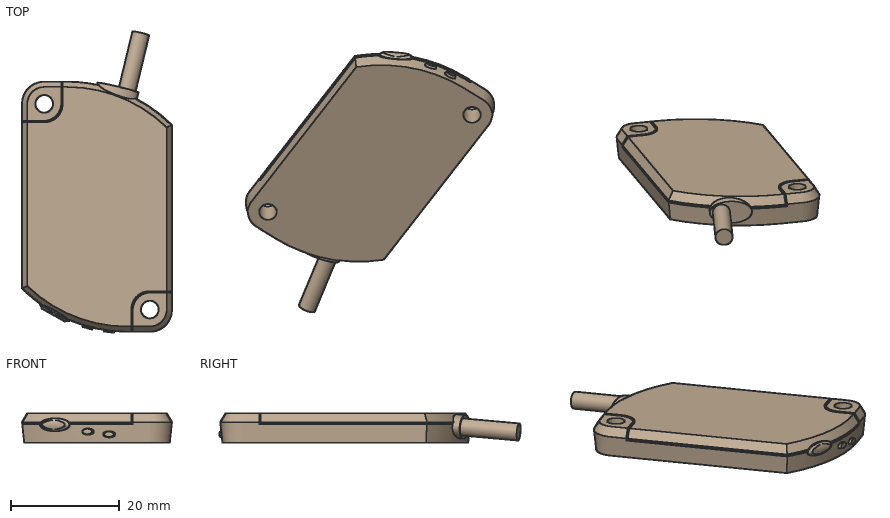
import cadquery as cq
import math

half_width = 13.8
half_length = 23.0
height = 5.5
widest_z = 3.85
base_draft = 6.0
bevel_angle = 31.0
corner_radius = 4.1
bow_start_x = 5.5
side_end_y = 15.0

hole_diameter = 3.2
hole_x = half_width - corner_radius
hole_y = half_length - corner_radius

groove_depth = 0.15
groove_width = 0.3
groove_bottom_z = 3.4
corner_pad_radius = 3.1

crown_radius = 2.0
boss_embed = 1.0
boss_height = 0.5
window_root = (6.2, 2.4)
window_tip = (4.8, 1.3)
window_place = (-7.8, 3.35)
button_root = (2.2, 1.2)
button_tip = (1.8, 0.95)
button_places = [(-1.7, 2.1), (2.2, 1.6)]

cable_diameter = 3.2
cable_swing = 13.5
cable_dip = 5.0
cable_length = 10.7
gland_size = (7.8, 4.4)
gland_depth = 2.0
gland_face = (3.85, 21.9, 2.95)
cable_offset = 1.75

bow_run = half_width + bow_start_x
bow_rise = half_length - side_end_y
bow_radius = (bow_run**2 + bow_rise**2) / (2 * bow_rise)
bow_centre_y = bow_radius - half_length


def bow_angle(x):
    """Angle, in radians, between -Y and the outward normal of the -Y bow at x."""
    return math.asin((bow_start_x - x) / bow_radius)


def bow_y(x):
    return bow_centre_y - bow_radius * math.cos(bow_angle(x))


def outline():
    """Widest plan outline: two bowed ends and two rounded corners."""
    middle_x = bow_start_x - bow_run / 2
    corner_mid = corner_radius * math.sqrt(0.5)
    return (
        cq.Workplane("XY").workplane(offset=widest_z)
        .moveTo(-half_width, -side_end_y)
        .threePointArc((middle_x, bow_y(middle_x)), (bow_start_x, -half_length))
        .lineTo(hole_x, -half_length)
        .threePointArc((hole_x + corner_mid, -hole_y - corner_mid), (half_width, -hole_y))
        .lineTo(half_width, side_end_y)
        .threePointArc((-middle_x, -bow_y(middle_x)), (-bow_start_x, half_length))
        .lineTo(-hole_x, half_length)
        .threePointArc((-hole_x - corner_mid, hole_y + corner_mid), (-half_width, hole_y))
        .close()
    )


def housing(inset=0.0):
    """Drafted housing, optionally with its walls and top moved inwards."""
    def plan():
        return outline().offset2D(-inset) if inset else outline()

    upper = plan().extrude(height - inset - widest_z, taper=bevel_angle)
    lower = plan().extrude(-widest_z, taper=base_draft)
    return upper.union(lower)


def corner_pads(radius):
    """Columns around both mounting holes, run out past the two corners."""
    reach = 2 * corner_radius
    start = cq.Workplane("XY").workplane(offset=groove_bottom_z)
    pads = cq.Workplane("XY")
    for side in (1, -1):
        x, y = side * hole_x, -side * hole_y
        pads = pads.union(start.center(x, y).circle(radius).extrude(height))
        along_x = start.center(x + side * reach / 2, y).rect(reach, 2 * radius).extrude(height)
        along_y = start.center(x, y - side * reach / 2).rect(2 * radius, reach).extrude(height)
        pads = pads.union(along_x).union(along_y)
    return pads


def parting_groove():
    """Shallow groove along the walls that climbs over the top around each pad."""
    inner_pads = corner_pads(corner_pad_radius)
    band = (
        cq.Workplane("XY").workplane(offset=groove_bottom_z)
        .rect(4 * half_width, 4 * half_length).extrude(groove_width)
    )
    path = band.union(corner_pads(corner_pad_radius + groove_width)).cut(inner_pads)
    return path.cut(housing(groove_depth))


def crowned_boss(place, root, tip):
    """Elliptical boss square to the -Y bow, with a face crowned about its long axis."""
    x, z = place
    turn = bow_angle(x)
    outward = (-math.sin(turn), -math.cos(turn), 0)
    along = (math.cos(turn), -math.sin(turn), 0)
    wall_inset = (widest_z - z) * math.tan(math.radians(base_draft))
    foot = cq.Vector(x, bow_y(x), z) - cq.Vector(*outward) * wall_inset
    foot_plane = cq.Plane(foot, along, outward)

    def root_ellipse():
        return cq.Workplane(foot_plane).ellipse(root[0] / 2, root[1] / 2)

    flare = root_ellipse().workplane(offset=boss_height).ellipse(tip[0] / 2, tip[1] / 2).loft()
    boss = root_ellipse().extrude(-boss_embed).union(flare)
    crown_centre = foot + cq.Vector(*outward) * (boss_height - crown_radius)
    crown = (
        cq.Workplane(cq.Plane(crown_centre, outward, along))
        .circle(crown_radius).extrude(root[0], both=True)
    )
    return boss.intersect(crown)


def cable_and_gland():
    """Cable leaving the gland off-centre, both square to the gland face."""
    swing = math.radians(cable_swing)
    dip = math.radians(cable_dip)
    outward = (math.sin(swing) * math.cos(dip), math.cos(swing) * math.cos(dip), -math.sin(dip))
    along = (math.cos(swing), -math.sin(swing), 0)
    face = cq.Workplane(cq.Plane(gland_face, along, outward))
    gland = face.ellipse(gland_size[0] / 2, gland_size[1] / 2).extrude(-gland_depth)
    cable = face.center(cable_offset, 0).circle(cable_diameter / 2).extrude(cable_length)
    return gland.union(cable)


result = housing().cut(parting_groove())
result = result.union(crowned_boss(window_place, window_root, window_tip))
for button_place in button_places:
    result = result.union(crowned_boss(button_place, button_root, button_tip))
result = result.union(cable_and_gland())
mounting_holes = (
    cq.Workplane("XY").pushPoints([(hole_x, -hole_y), (-hole_x, hole_y)])
    .circle(hole_diameter / 2).extrude(height)
)
result = result.cut(mounting_holes)